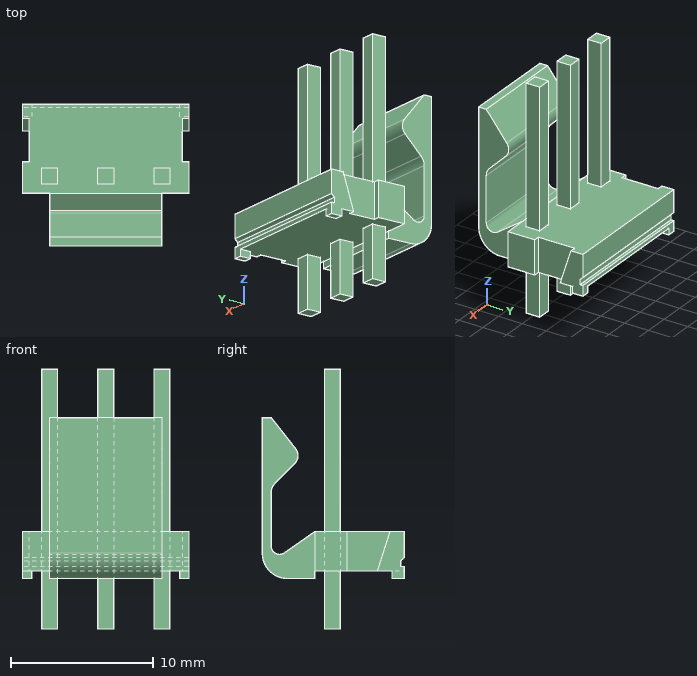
import cadquery as cq
import math


pin_count = 3
pin_pitch = 3.95
pin_width = 1.13
pin_length = 18.29
pin_bottom = -4.08

base_width = 11.72
base_height = 2.8
base_front = -1.23
base_back = 5.07

foot_height = 0.53
foot_width = 0.65
foot_depth = 0.88

notch_depth = 0.48
notch_front = 1.02
notch_back_bottom = 3.16
notch_back_top = 4.06

groove_depth = 0.24
groove_bottom = 0.33
groove_top = 0.97

clip_width = 7.9
clip_front = -4.94
clip_wall = 0.64
clip_top = 10.81
clip_bend_radius = 1.8
ramp_angle = math.radians(35)
ramp_root_radius = 0.59
hook_reach = 2.15
hook_tip_height = 8.07
hook_tip_radius = 0.8
hook_root_radius = 0.91


def end_notch(side):
    """Cutter for the notch in one end of the base; side is -1 or 1."""
    outline = [
        (notch_front, 0),
        (notch_back_bottom, 0),
        (notch_back_top, base_height),
        (notch_front, base_height),
    ]
    center_x = side * (base_width - notch_depth) / 2
    return (
        cq.Workplane("YZ", origin=(center_x, 0, 0))
        .polyline(outline)
        .close()
        .extrude(notch_depth / 2, both=True)
    )


def back_groove():
    """Cutter for the groove along the back face."""
    groove_floor = base_back - groove_depth
    outline = [
        (base_back, groove_bottom),
        (groove_floor, groove_bottom),
        (groove_floor, groove_top - groove_depth),
        (base_back, groove_top),
    ]
    return cq.Workplane("YZ").polyline(outline).close().extrude(base_width / 2, both=True)


def make_foot(side):
    """Foot under one back corner; side is -1 or 1."""
    center_x = side * (base_width - foot_width) / 2
    center_y = base_back - foot_depth / 2
    return (
        cq.Workplane("XY", origin=(center_x, center_y, -foot_height))
        .rect(foot_width, foot_depth)
        .extrude(foot_height)
    )


def make_clip():
    """J-shaped locking clip: ramp down from the base, upright wall and hook."""
    wall_inside = clip_front + clip_wall
    ramp_bottom = base_height - (base_front - wall_inside) * math.tan(ramp_angle)
    hook_bottom = hook_tip_height - hook_reach
    hook_tip = wall_inside + hook_reach
    outline = [
        (base_front, -foot_height),
        (base_front, base_height),
        (wall_inside, ramp_bottom),
        (wall_inside, hook_bottom),
        (hook_tip, hook_tip_height),
        (wall_inside, clip_top),
        (clip_front, clip_top),
        (clip_front, -foot_height),
    ]
    clip = cq.Workplane("YZ").polyline(outline).close().extrude(clip_width / 2, both=True)

    rounded_corners = [
        (clip_front, -foot_height, clip_bend_radius),
        (wall_inside, ramp_bottom, ramp_root_radius),
        (wall_inside, hook_bottom, hook_root_radius),
        (hook_tip, hook_tip_height, hook_tip_radius),
    ]
    for y, z, radius in rounded_corners:
        corner = cq.selectors.NearestToPointSelector((0, y, z))
        clip = clip.edges("|X").edges(corner).fillet(radius)
    return clip


def make_pin(x):
    """Square pin centred on x."""
    return (
        cq.Workplane("XY", origin=(x, 0, pin_bottom))
        .rect(pin_width, pin_width)
        .extrude(pin_length)
    )


def make_housing(pins):
    """Base block with its feet and clip, and a matching hole for each pin."""
    base_depth = base_back - base_front
    housing = (
        cq.Workplane("XY", origin=(0, (base_back + base_front) / 2, 0))
        .rect(base_width, base_depth)
        .extrude(base_height)
    )
    housing = housing.cut(back_groove())
    for side in (-1, 1):
        housing = housing.cut(end_notch(side))
        housing = housing.union(make_foot(side))
    housing = housing.union(make_clip())
    for pin in pins:
        housing = housing.cut(pin)
    return housing


pins = [make_pin((i - (pin_count - 1) / 2) * pin_pitch) for i in range(pin_count)]
housing = make_housing(pins)

result = cq.Compound.makeCompound([housing.solids().val(), *[pin.val() for pin in pins]])